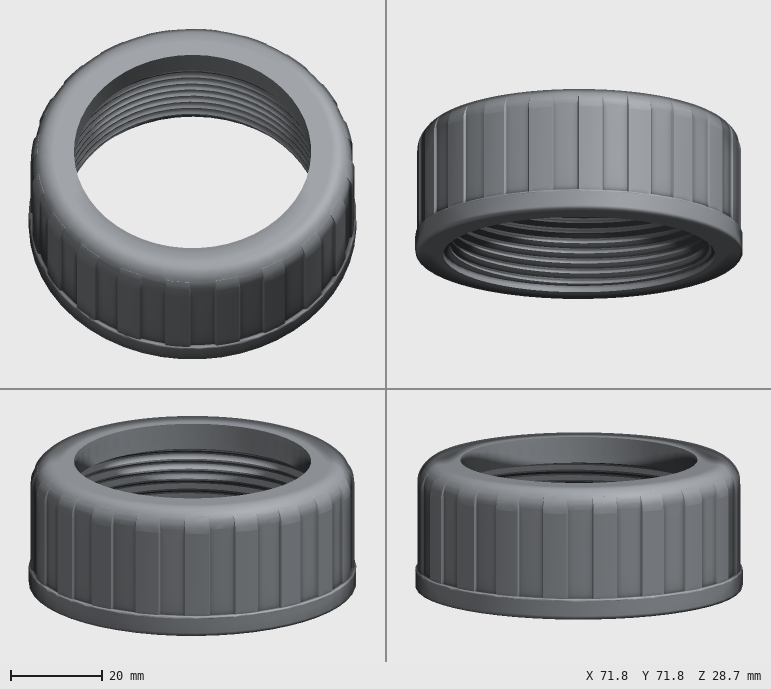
import cadquery as cq
import math

FLANGE_RADIUS = 35.9
FLANGE_HEIGHT = 4.7
FLANGE_BOTTOM_FILLET = 0.85
FLANGE_TOP_FILLET = 0.4
HEIGHT = 28.7
BODY_RADIUS = 35.0
SHOULDER_FILLET = 4.25

RIB_COUNT = 20
RIB_RADIUS = 35.5
RIB_TIP_WIDTH = 5.1
RIB_SIDE_DRAFT = 60.0
RIB_SIDE_REACH = 0.5
RIB_BOTTOM = FLANGE_HEIGHT / 2
RIB_TOP = 27.15
RIB_STRAIGHT_TOP = 23.6
RIB_SHOULDER_RADIUS = 5.2

LIP_BORE_RADIUS = 52.0 / 2
LIP_THICKNESS = 5.75
THREAD_TOP = HEIGHT - LIP_THICKNESS
THREAD_MINOR_RADIUS = 56.65 / 2
THREAD_MAJOR_RADIUS = 59.6 / 2
THREAD_PITCH = 2.3
THREAD_FLANK_ANGLE = 27.5
THREAD_CREST_Z = 2.2
MOUTH_DEPTH = 1.45
CORE_RADIUS = 30.5
AREA_TOLERANCE = 1e-6
OVERLAP = 0.15


def make_shell():
    """Solid of revolution: a rounded bottom flange below a body with a large top shoulder."""
    flange = (
        cq.Workplane("XY").circle(FLANGE_RADIUS).extrude(FLANGE_HEIGHT)
        .faces("<Z").edges().fillet(FLANGE_BOTTOM_FILLET)
        .faces(">Z").edges().fillet(FLANGE_TOP_FILLET)
    )
    body = (
        cq.Workplane("XY").circle(BODY_RADIUS).extrude(HEIGHT)
        .faces(">Z").edges().fillet(SHOULDER_FILLET)
    )
    return flange.union(body)


def rib_profile(plane, inner_radius):
    """Radial section of a rib: straight outer edge, curving inwards up to the rib top."""
    arc_center = RIB_RADIUS - RIB_SHOULDER_RADIUS
    end_angle = math.asin((RIB_TOP - RIB_STRAIGHT_TOP) / RIB_SHOULDER_RADIUS)

    def arc_point(angle):
        return (
            arc_center + RIB_SHOULDER_RADIUS * math.cos(angle),
            RIB_STRAIGHT_TOP + RIB_SHOULDER_RADIUS * math.sin(angle),
        )

    return (
        cq.Workplane(plane)
        .moveTo(inner_radius, RIB_BOTTOM)
        .lineTo(RIB_RADIUS, RIB_BOTTOM)
        .lineTo(RIB_RADIUS, RIB_STRAIGHT_TOP)
        .threePointArc(arc_point(end_angle / 2), arc_point(end_angle))
        .lineTo(inner_radius, RIB_TOP)
        .close()
    )


def make_ribs():
    """Grip ribs with drafted sides and a round outer face, evenly spaced around the body."""
    inner_radius = (CORE_RADIUS + BODY_RADIUS) / 2
    half_width = RIB_TIP_WIDTH / 2
    core = rib_profile("XZ", inner_radius).extrude(half_width, both=True)
    side_plane = cq.Plane(origin=(0, -half_width, 0), xDir=(1, 0, 0), normal=(0, -1, 0))
    side = rib_profile(side_plane, inner_radius).extrude(RIB_SIDE_REACH, taper=RIB_SIDE_DRAFT)
    envelope = rib_profile("XZ", 0).revolve(360, (0, 0, 0), (0, 1, 0))
    rib = core.union(side).union(side.mirror("XZ")).intersect(envelope)

    ribs = cq.Workplane("XY")
    for index in range(RIB_COUNT):
        ribs = ribs.add(rib.rotate((0, 0, 0), (0, 0, 1), index * 360 / RIB_COUNT))
    return ribs


def make_thread():
    """Right-handed trapezoidal helical ridge, trimmed flat at the mouth and running into the lip."""
    flank_run = math.tan(math.radians(THREAD_FLANK_ANGLE))
    depth = THREAD_MAJOR_RADIUS - THREAD_MINOR_RADIUS
    crest_half = THREAD_PITCH / 4 - depth / 2 * flank_run
    base_radius = THREAD_MAJOR_RADIUS + OVERLAP
    base_half = crest_half + (depth + OVERLAP) * flank_run
    start_z = THREAD_CREST_Z - THREAD_PITCH
    turns = math.ceil((THREAD_TOP - start_z) / THREAD_PITCH) + 1
    helix = cq.Wire.makeHelix(THREAD_PITCH, turns * THREAD_PITCH, THREAD_MINOR_RADIUS)
    ridge = (
        cq.Workplane("XZ")
        .polyline([
            (THREAD_MINOR_RADIUS, -crest_half),
            (base_radius, -base_half),
            (base_radius, base_half),
            (THREAD_MINOR_RADIUS, crest_half),
        ])
        .close()
        .sweep(cq.Workplane(helix), isFrenet=True)
        .translate((0, 0, start_z))
    )
    limits = (
        cq.Workplane("XY").workplane(offset=MOUTH_DEPTH)
        .circle(FLANGE_RADIUS).extrude(THREAD_TOP + OVERLAP - MOUTH_DEPTH)
    )
    return ridge.intersect(limits)


def make_threaded_core():
    """Inner layer of the nut, full height: lip bore above the plain mouth and the thread ridge."""
    core = (
        cq.Workplane("XY").circle(CORE_RADIUS).circle(LIP_BORE_RADIUS).extrude(HEIGHT)
        .cut(cq.Workplane("XY").circle(THREAD_MAJOR_RADIUS).extrude(THREAD_TOP))
    )
    return core.union(make_thread(), clean=False)


def make_ribbed_wall():
    """Outer layer of the nut: the shell with its ribs, hollowed to receive the core."""
    hollow = cq.Workplane("XY").circle(CORE_RADIUS).extrude(HEIGHT)
    return make_shell().cut(hollow).union(make_ribs(), clean=False)


def join_layers(wall, core):
    """Sew two layers into one solid, dropping the full-height cylinder face that they share."""
    joint_area = 2 * math.pi * CORE_RADIUS * HEIGHT
    outer_faces = [
        face
        for layer in (wall, core)
        for face in layer.val().Faces()
        if not math.isclose(face.Area(), joint_area, rel_tol=AREA_TOLERANCE)
    ]
    solid = cq.Solid.makeSolid(cq.Shell.makeShell(outer_faces))
    return cq.Workplane(solid).clean()


result = join_layers(make_ribbed_wall(), make_threaded_core())